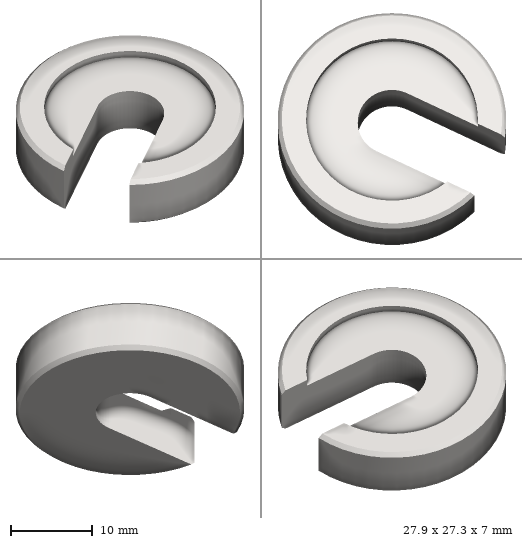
import cadquery as cq

outer_diameter = 27.93
thickness = 7.0
rim_chamfer = 0.5
recess_diameter = 21.0
recess_depth = 1.0
slot_width = 8.38


def chamfered_disc():
    """Round disc, bottom on Z = 0, with both outer edges chamfered."""
    disc = cq.Workplane("XY").circle(outer_diameter / 2).extrude(thickness)
    return disc.faces("<Z or >Z").edges().chamfer(rim_chamfer)


def top_recess():
    """Shallow round pocket in the top face."""
    floor = thickness - recess_depth
    return cq.Workplane("XY").workplane(offset=floor).circle(recess_diameter / 2).extrude(recess_depth)


def open_slot():
    """Through slot with a round end on the disc axis, open toward -Y."""
    slot_length = outer_diameter / 2
    round_end = cq.Workplane("XY").circle(slot_width / 2).extrude(thickness)
    straight = (
        cq.Workplane("XY")
        .center(0, -slot_length / 2)
        .rect(slot_width, slot_length)
        .extrude(thickness)
    )
    return round_end.union(straight)


result = chamfered_disc().cut(top_recess()).cut(open_slot())